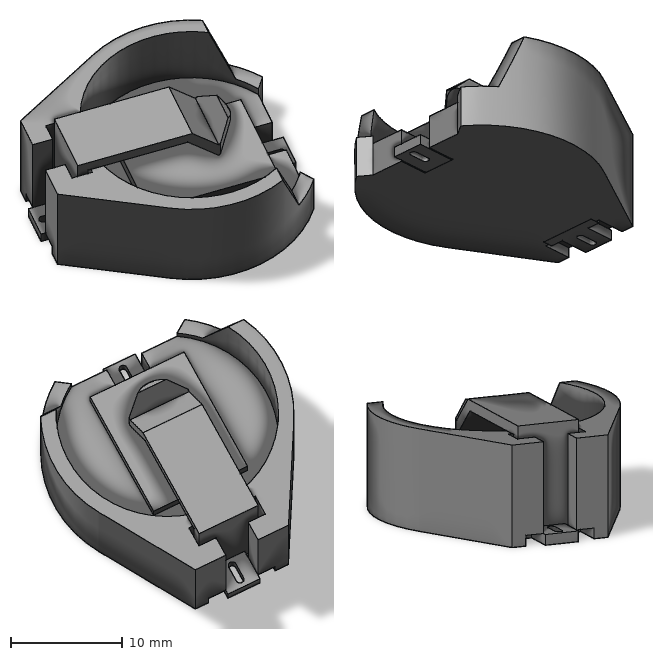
import cadquery as cq
import math

metal = 1.0
overall_height = 10.5
rim_height = overall_height - metal

outer_radius = 11.4
pocket_radius = 10.0
floor_height = 3.25
front_y = -14.63
flank_angle = 30
floor_edge_y = 8.45
arm_tip_y = 9.3
arm_tip_x = math.sqrt(outer_radius**2 - arm_tip_y**2)
arm_inner_x = math.sqrt(pocket_radius**2 - floor_edge_y**2)
arm_end_height = 4.02
arm_slope_top_y = 4.92
arm_slope_bottom_y = 6.95

tab_width = 3.25
tab_hole_length = 2.2
tab_hole_width = 0.7
tab_hole_margin = 0.45
back_tab_end_y = 9.45
front_tab_end_y = -15.05

plate_left_x = -4.48
plate_right_x = 5.02
plate_front_y = -6.0
plate_back_y = 6.45
plate_top = floor_height + metal
back_slot_width = 3.53

spring_width = 5.98
spring_back_y = -12.03
leg_inner_y = spring_back_y + metal
bend_down_y = -1.03
bend_up_y = 1.52
spring_tip_y = 3.0
taper_start_y = 1.7
tip_angle = 40
tip_arc_half_width = 1.13

leg_opening_width = 6.71
leg_opening_front_y = -12.72
leg_opening_back_y = -10.75
foot_channel_end_y = -11.65


def block(x_min, x_max, y_min, y_max, z_min, z_max):
    size = (x_max - x_min, y_max - y_min, z_max - z_min)
    return cq.Workplane("XY").box(*size, centered=False).translate((x_min, y_min, z_min))


def centred_block(width, y_min, y_max, z_min, z_max):
    return block(-width / 2, width / 2, y_min, y_max, z_min, z_max)


def tab_hole(end_y, inward):
    """Rounded slot cutter; inward is the Y direction from the tab end to its root."""
    centre_y = end_y + inward * (tab_hole_margin + tab_hole_length / 2)
    return cq.Workplane("XY").center(0, centre_y).slot2D(tab_hole_length, tab_hole_width, 90).extrude(metal)


def housing_blank():
    """Round body whose flanks run tangentially to a narrow flat front."""
    slope = math.radians(flank_angle)
    tangent_x = outer_radius * math.cos(slope)
    tangent_y = -outer_radius * math.sin(slope)
    corner_x = tangent_x - (tangent_y - front_y) * math.tan(slope)
    return (
        cq.Workplane("XY")
        .moveTo(-corner_x, front_y)
        .lineTo(corner_x, front_y)
        .lineTo(tangent_x, tangent_y)
        .threePointArc((outer_radius, 0), (arm_tip_x, arm_tip_y))
        .lineTo(arm_inner_x, floor_edge_y)
        .lineTo(-arm_inner_x, floor_edge_y)
        .lineTo(-arm_tip_x, arm_tip_y)
        .threePointArc((-outer_radius, 0), (-tangent_x, tangent_y))
        .close()
        .extrude(rim_height)
    )


def arm_relief():
    """Cutter that slopes the wall down to the low ends of the arms."""
    return (
        cq.Workplane("YZ")
        .polyline([
            (arm_slope_top_y, rim_height),
            (arm_slope_bottom_y, arm_end_height),
            (outer_radius, arm_end_height),
            (outer_radius, rim_height),
        ])
        .close()
        .extrude(outer_radius, both=True)
    )


def make_housing():
    pocket = cq.Workplane("XY").workplane(offset=floor_height).circle(pocket_radius).extrude(rim_height)
    back_slot = centred_block(back_slot_width, plate_back_y - metal, floor_edge_y, 0, floor_height)
    leg_opening = centred_block(
        leg_opening_width, leg_opening_front_y, leg_opening_back_y, metal, rim_height)
    leg_seat = centred_block(spring_width, foot_channel_end_y, leg_inner_y, 0, metal)
    foot_channel = centred_block(leg_opening_width, front_y, foot_channel_end_y, 0, metal)
    front_slot = centred_block(tab_width, front_y, leg_opening_front_y, 0, rim_height)
    body = housing_blank()
    for cutter in (pocket, arm_relief(), back_slot, leg_opening, leg_seat, foot_channel, front_slot):
        body = body.cut(cutter)
    return body


def make_base_contact():
    """Plate on the pocket floor, with a leg down to the rear solder tab."""
    plate = block(plate_left_x, plate_right_x, plate_front_y, plate_back_y, floor_height, plate_top)
    leg = centred_block(tab_width, plate_back_y - metal, plate_back_y, 0, floor_height)
    tab = centred_block(tab_width, plate_back_y, back_tab_end_y, 0, metal)
    return plate.union(leg).union(tab).cut(tab_hole(back_tab_end_y, -1))


def spring_strip():
    """Upright leg and top strip, bent down and up again at 45 degrees."""
    dip = bend_up_y - bend_down_y
    rise = spring_tip_y - bend_up_y
    valley_z = overall_height - dip
    tip_z = valley_z + rise
    end_step = metal * math.sin(math.radians(45))
    vertical_thickness = metal / math.cos(math.radians(45))
    inner_bend_y = bend_down_y - metal * math.tan(math.radians(22.5))
    return (
        cq.Workplane("YZ")
        .polyline([
            (spring_back_y, 0),
            (spring_back_y, overall_height),
            (bend_down_y, overall_height),
            (bend_up_y, valley_z),
            (spring_tip_y, tip_z),
            (spring_tip_y + end_step, tip_z - end_step),
            (bend_up_y, valley_z - vertical_thickness),
            (inner_bend_y, rim_height),
            (leg_inner_y, rim_height),
            (leg_inner_y, 0),
        ])
        .close()
        .extrude(spring_width / 2, both=True)
    )


def spring_outline():
    """Prism with the strip's plan shape, tapering to a tangent round tip."""
    half_width = spring_width / 2
    taper = math.radians(tip_angle)
    arc_start_y = taper_start_y + (half_width - tip_arc_half_width) * math.tan(taper)
    arc_top_y = arc_start_y + tip_arc_half_width * math.tan(taper / 2)
    return (
        cq.Workplane("XY")
        .moveTo(-half_width, spring_back_y)
        .lineTo(half_width, spring_back_y)
        .lineTo(half_width, taper_start_y)
        .lineTo(tip_arc_half_width, arc_start_y)
        .threePointArc((0, arc_top_y), (-tip_arc_half_width, arc_start_y))
        .lineTo(-half_width, taper_start_y)
        .close()
        .extrude(overall_height)
    )


def make_spring_contact():
    tab = centred_block(tab_width, front_tab_end_y, spring_back_y, 0, metal)
    return spring_strip().intersect(spring_outline()).union(tab).cut(tab_hole(front_tab_end_y, 1))


housing = make_housing()
base_contact = make_base_contact()
spring_contact = make_spring_contact()

result = cq.Compound.makeCompound([housing.val(), base_contact.val(), spring_contact.val()])